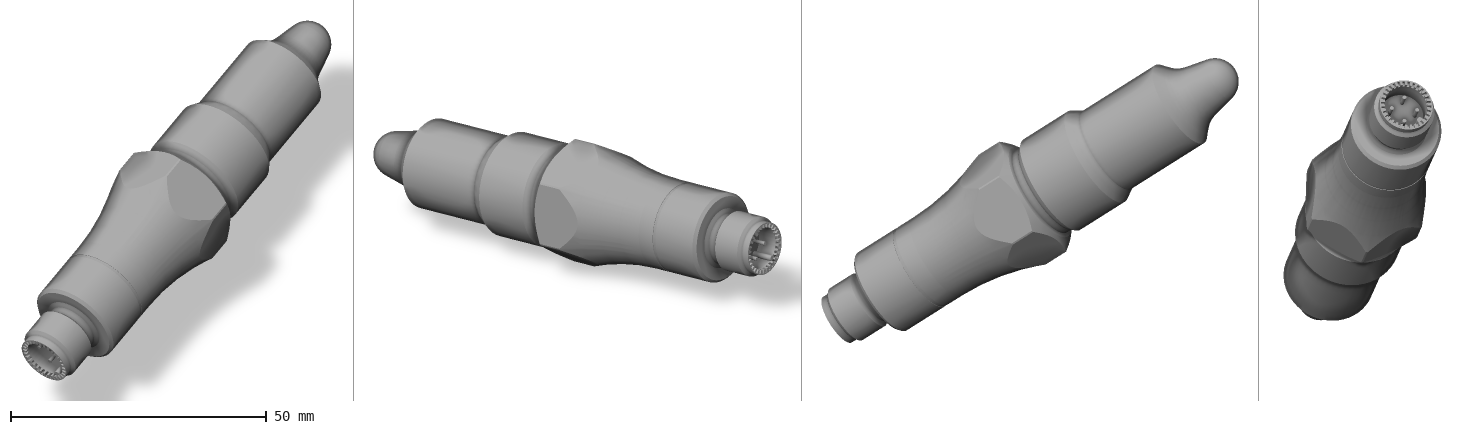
import cadquery as cq
import math

LENGTH = 96.8

PLUG_TIP_R = 10.6 / 2
THREAD_R = 12.0 / 2
NECK_R = 10.4 / 2
PLUG_TIP_END_Y = 1.5
THREAD_START_Y = 2.1
THREAD_END_Y = 7.65
NECK_START_Y = 8.3
NECK_END_Y = 9.8

SLEEVE_R = 18.0 / 2
SLEEVE_START_Y = 10.4
SLEEVE_CHAMFER = 0.6
JOINT_START_Y = 20.2
JOINT_WIDTH = 0.7
JOINT_DEPTH = 0.1

FLARE_START_Y = 24.4
FLARE_RADIUS = 48.4
HEX_ACROSS_FLATS = 22.0
HEX_TURN = 30
HEX_TURNED_R = 12.6
HEX_BEVEL_START_Y = 47.6
HEX_BEVEL_END_Y = 49.5
HEX_BEVEL_END_R = 10.3

UNDERCUT_R = 19.0 / 2
UNDERCUT_START_Y = 49.8
UNDERCUT_END_Y = 51.2
COLLAR_R = 20.9 / 2
COLLAR_START_Y = 52.4
COLLAR_END_Y = 63.2
COLLAR_CONE_END_Y = 65.8

BARREL_END_Y = 83.6
DOME_R = 4.6
NOSE_TAPER = math.radians(12)
NOSE_TAPER_END_Y = 88.5
SHOULDER_ANGLE = math.radians(45)

BORE_R = 4.3
SOCKET_DEPTH = 4.8
NOTCH_COUNT = 30
NOTCH_WIDTH = 0.5
NOTCH_OUTER_R = 5.0
NOTCH_END_Y = 0.8
PIN_COUNT = 4
PIN_R = 0.4
PIN_CIRCLE_R = 2.5
PIN_TIP_Y = 1.9
KEY_R = 0.6
KEY_CIRCLE_R = 4.0
KEY_TIP_Y = 0.4
KEY_ANGLE = -45


def arc_point(center_r, center_y, radius, angle):
    """Point (r, y) on a circle, with the angle measured from the +r direction."""
    return (center_r + radius * math.cos(angle), center_y + radius * math.sin(angle))


def along_y(sketch_xz, start_y, end_y):
    """Extrude a sketch drawn in the XZ plane between two stations on the Y axis."""
    return sketch_xz.extrude(start_y - end_y).translate((0, start_y, 0))


def revolved_body():
    flare_center_r = SLEEVE_R + FLARE_RADIUS
    flare_sweep = math.acos(1 - (HEX_TURNED_R - SLEEVE_R) / FLARE_RADIUS)
    flare_mid = arc_point(flare_center_r, FLARE_START_Y, FLARE_RADIUS, math.pi - flare_sweep / 2)
    flare_end = arc_point(flare_center_r, FLARE_START_Y, FLARE_RADIUS, math.pi - flare_sweep)

    dome_center_y = LENGTH - DOME_R
    dome_start = arc_point(0, dome_center_y, DOME_R, NOSE_TAPER)
    dome_mid = arc_point(0, dome_center_y, DOME_R, (NOSE_TAPER + math.pi / 2) / 2)
    taper_run = dome_start[1] - NOSE_TAPER_END_Y
    taper_end_r = dome_start[0] + taper_run * math.tan(NOSE_TAPER)

    shoulder_slope = math.tan(SHOULDER_ANGLE)
    arc_run = math.sin(SHOULDER_ANGLE) - math.sin(NOSE_TAPER)
    arc_rise = math.cos(NOSE_TAPER) - math.cos(SHOULDER_ANGLE)
    shoulder_run = NOSE_TAPER_END_Y - BARREL_END_Y
    shoulder_rise = SLEEVE_R - taper_end_r
    hollow_r = (shoulder_run * shoulder_slope - shoulder_rise) / (arc_run * shoulder_slope - arc_rise)
    hollow_center_r = taper_end_r + hollow_r * math.cos(NOSE_TAPER)
    hollow_center_y = NOSE_TAPER_END_Y + hollow_r * math.sin(NOSE_TAPER)
    hollow_start = arc_point(hollow_center_r, hollow_center_y, hollow_r, math.pi + SHOULDER_ANGLE)
    hollow_mid = arc_point(
        hollow_center_r, hollow_center_y, hollow_r, math.pi + (SHOULDER_ANGLE + NOSE_TAPER) / 2
    )

    profile = (
        cq.Workplane("XY")
        .moveTo(0, 0)
        .lineTo(PLUG_TIP_R, 0)
        .lineTo(PLUG_TIP_R, PLUG_TIP_END_Y)
        .lineTo(THREAD_R, THREAD_START_Y)
        .lineTo(THREAD_R, THREAD_END_Y)
        .lineTo(NECK_R, NECK_START_Y)
        .lineTo(NECK_R, NECK_END_Y)
        .lineTo(THREAD_R, SLEEVE_START_Y)
        .lineTo(SLEEVE_R - SLEEVE_CHAMFER, SLEEVE_START_Y)
        .lineTo(SLEEVE_R, SLEEVE_START_Y + SLEEVE_CHAMFER)
        .lineTo(SLEEVE_R, JOINT_START_Y)
        .lineTo(SLEEVE_R - JOINT_DEPTH, JOINT_START_Y)
        .lineTo(SLEEVE_R - JOINT_DEPTH, JOINT_START_Y + JOINT_WIDTH)
        .lineTo(SLEEVE_R, JOINT_START_Y + JOINT_WIDTH)
        .lineTo(SLEEVE_R, FLARE_START_Y)
        .threePointArc(flare_mid, flare_end)
        .lineTo(HEX_TURNED_R, HEX_BEVEL_START_Y)
        .lineTo(HEX_BEVEL_END_R, HEX_BEVEL_END_Y)
        .lineTo(UNDERCUT_R, UNDERCUT_START_Y)
        .lineTo(UNDERCUT_R, UNDERCUT_END_Y)
        .lineTo(COLLAR_R, COLLAR_START_Y)
        .lineTo(COLLAR_R, COLLAR_END_Y)
        .lineTo(SLEEVE_R, COLLAR_CONE_END_Y)
        .lineTo(SLEEVE_R, BARREL_END_Y)
        .lineTo(*hollow_start)
        .threePointArc(hollow_mid, (taper_end_r, NOSE_TAPER_END_Y))
        .lineTo(*dome_start)
        .threePointArc(dome_mid, (0, LENGTH))
        .close()
    )
    return profile.revolve(360, (0, 0, 0), (0, 1, 0))


def hexagon_bar():
    """Full-length hexagon with flats facing +X and -X and corners facing +Z and -Z."""
    across_corners = HEX_ACROSS_FLATS / math.cos(math.radians(30))
    hexagon = cq.Workplane("XZ").transformed(rotate=(0, 0, HEX_TURN)).polygon(6, across_corners)
    return along_y(hexagon, 0, LENGTH)


def socket():
    """Bore with a ring of notches around its mouth and a key left along its wall."""
    bore = along_y(cq.Workplane("XZ").circle(BORE_R), 0, SOCKET_DEPTH)
    notch_inner_r = BORE_R - NOTCH_WIDTH / 2
    notch_sketch = (
        cq.Workplane("XZ")
        .polarArray((notch_inner_r + NOTCH_OUTER_R) / 2, 0, 360, NOTCH_COUNT)
        .rect(NOTCH_OUTER_R - notch_inner_r, NOTCH_WIDTH)
    )
    notches = along_y(notch_sketch, 0, NOTCH_END_Y)
    return bore.union(notches).cut(key())


def key():
    """Round rib along the bore wall, clipped to the bore."""
    rib = cq.Workplane("XZ").polarArray(KEY_CIRCLE_R, KEY_ANGLE, 360, 1).circle(KEY_R)
    bore_limit = cq.Workplane("XZ").circle(BORE_R)
    return along_y(rib, KEY_TIP_Y, SOCKET_DEPTH).intersect(along_y(bore_limit, 0, SOCKET_DEPTH))


def pins():
    circles = cq.Workplane("XZ").polarArray(PIN_CIRCLE_R, 0, 360, PIN_COUNT).circle(PIN_R)
    return along_y(circles, PIN_TIP_Y, SOCKET_DEPTH)


result = revolved_body().intersect(hexagon_bar()).cut(socket()).union(pins())